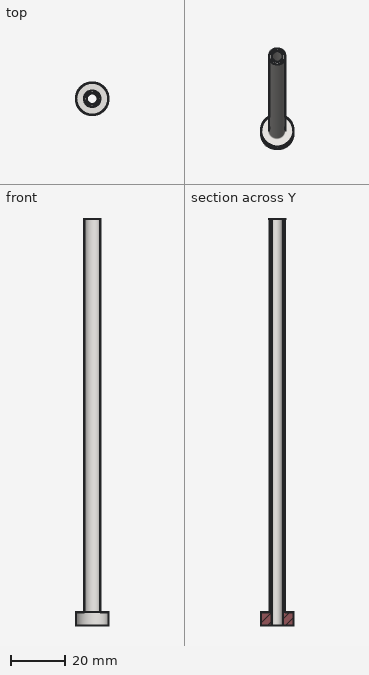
import cadquery as cq

total_length = 150.0
head_diameter = 12.0
head_height = 5.0
tube_diameter = 6.0
bore_diameter = 4.0
root_fillet = 0.5

tube_radius = tube_diameter / 2
head_radius = head_diameter / 2
bore_radius = bore_diameter / 2

half_section = (
    cq.Workplane("XZ")
    .moveTo(bore_radius, 0)
    .lineTo(head_radius, 0)
    .lineTo(head_radius, head_height)
    .lineTo(tube_radius + root_fillet, head_height)
    .radiusArc((tube_radius, head_height + root_fillet), root_fillet)
    .lineTo(tube_radius, total_length)
    .lineTo(bore_radius, total_length)
    .close()
)

result = half_section.revolve(360, (0, 0, 0), (0, 1, 0))